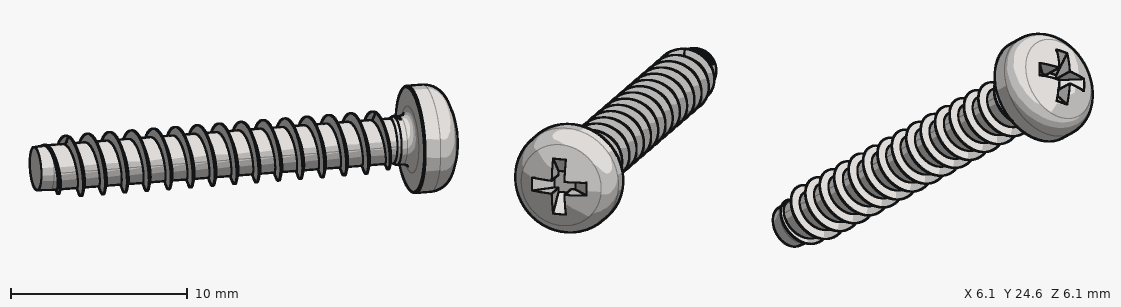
import cadquery as cq
import math

ORIGIN = (0, 0, 0)
X_AXIS = (1, 0, 0)
Y_AXIS = (0, 1, 0)
Z_AXIS = (0, 0, 1)

total_length = 24.63
head_radius = 3.05
head_height = 2.6
shank_length = total_length - head_height

rim_height = 0.95
rim_chamfer = 0.07
shoulder_radius = 1.23
dome_radius = 5.17

wing_width = 0.76
wing_span = 3.25
recess_depth = 1.23
recess_straight_depth = 0.25
recess_clearance = 0.25
recess_floor_span = 1.23

neck_radius = 1.38
neck_fillet = 0.52
neck_length = 0.85
neck_taper_length = 0.22
core_radius = 1.28
tip_radius = 1.23
tip_taper_length = 0.75
tip_dimple_depth = 0.15

pitch = 1.29
crest_radius = 1.75
crest_width = 0.05
root_radius = 1.18
root_width = 0.5
thread_phase = 2.278
full_turns = 14
runout_turns = 1.25
tip_runout_sink = 0.52
neck_runout_sink = 0.45


def head():
    """Pan head: rim, rounded shoulder and a dome tangent to the shoulder."""
    shoulder_center_r = head_radius - shoulder_radius
    reach = dome_radius - shoulder_radius
    dome_center_y = rim_height - math.sqrt(reach**2 - shoulder_center_r**2)
    apex_y = dome_center_y + dome_radius

    tangent_angle = math.asin(shoulder_center_r / reach)
    shoulder_angle = math.pi / 4 - tangent_angle / 2

    def on_dome(angle):
        return (dome_radius * math.sin(angle), dome_center_y + dome_radius * math.cos(angle))

    shoulder_mid = (
        shoulder_center_r + shoulder_radius * math.cos(shoulder_angle),
        rim_height + shoulder_radius * math.sin(shoulder_angle),
    )
    return (
        cq.Workplane("XY")
        .lineTo(head_radius - rim_chamfer, 0)
        .lineTo(head_radius, rim_chamfer)
        .lineTo(head_radius, rim_height)
        .threePointArc(shoulder_mid, on_dome(tangent_angle))
        .threePointArc(on_dome(tangent_angle / 2), (0, apex_y))
        .close()
        .revolve(360, ORIGIN, Y_AXIS)
    )


def cross_recess():
    """Two crossing wings with sloping ends, sunk into the dome from above."""
    wing = (
        cq.Workplane("XY", origin=(0, 0, -wing_width / 2))
        .moveTo(-wing_span / 2, head_height + recess_clearance)
        .lineTo(wing_span / 2, head_height + recess_clearance)
        .lineTo(wing_span / 2, head_height - recess_straight_depth)
        .lineTo(recess_floor_span / 2, head_height - recess_depth)
        .lineTo(-recess_floor_span / 2, head_height - recess_depth)
        .lineTo(-wing_span / 2, head_height - recess_straight_depth)
        .close()
        .extrude(wing_width)
    )
    return wing.union(wing.rotate(ORIGIN, Y_AXIS, 90))


def shank():
    """Neck with a fillet under the head, then the core down to a dimpled tip."""
    fillet_mid = (
        neck_radius + neck_fillet * (1 - math.cos(math.pi / 4)),
        -neck_fillet * (1 - math.sin(math.pi / 4)),
    )
    return (
        cq.Workplane("XY")
        .moveTo(0, rim_height)
        .lineTo(neck_radius + neck_fillet, rim_height)
        .lineTo(neck_radius + neck_fillet, 0)
        .threePointArc(fillet_mid, (neck_radius, -neck_fillet))
        .lineTo(neck_radius, -neck_length)
        .lineTo(core_radius, -neck_length - neck_taper_length)
        .lineTo(core_radius, tip_taper_length - shank_length)
        .lineTo(tip_radius, -shank_length)
        .lineTo(0, tip_dimple_depth - shank_length)
        .close()
        .revolve(360, ORIGIN, Y_AXIS)
    )


def ridge_along(helix, start_radius):
    """Sweep the trapezoid ridge, with its root at start_radius, along a helix from +X."""
    ridge_height = crest_radius - root_radius
    return (
        cq.Workplane("XZ")
        .moveTo(start_radius, -root_width / 2)
        .lineTo(start_radius + ridge_height, -crest_width / 2)
        .lineTo(start_radius + ridge_height, crest_width / 2)
        .lineTo(start_radius, root_width / 2)
        .close()
        .sweep(cq.Workplane(helix), isFrenet=True)
    )


def rising_ridge(sink):
    """Conical stretch of ridge that starts sunk by sink and ends at full height."""
    height = runout_turns * pitch
    cone_angle = math.atan2(sink, height)
    slant = 1 / math.cos(cone_angle)
    start_radius = root_radius - sink
    helix = cq.Wire.makeHelix(
        pitch * slant, height * slant, start_radius, angle=math.degrees(cone_angle)
    )
    return ridge_along(helix, start_radius)


def thread():
    """Thread along +Z with the tip at Z = 0: a full stretch and a run-out at each end."""
    full_length = full_turns * pitch
    runout_length = runout_turns * pitch
    runout_angle = runout_turns * 360
    start = thread_phase - pitch / 4

    full = ridge_along(cq.Wire.makeHelix(pitch, full_length, root_radius), root_radius)
    tip_end = (
        rising_ridge(tip_runout_sink)
        .rotate(ORIGIN, Z_AXIS, -runout_angle)
        .translate((0, 0, -runout_length))
    )
    neck_end = (
        rising_ridge(neck_runout_sink)
        .rotate(ORIGIN, X_AXIS, 180)
        .rotate(ORIGIN, Z_AXIS, runout_angle)
        .translate((0, 0, full_length + runout_length))
    )
    stretches = full.union(tip_end).union(neck_end)
    return stretches.rotate(ORIGIN, Z_AXIS, -90).translate((0, 0, start))


thread_on_shank = thread().rotate(ORIGIN, X_AXIS, -90).translate((0, -shank_length, 0))
result = head().cut(cross_recess()).union(shank()).union(thread_on_shank)